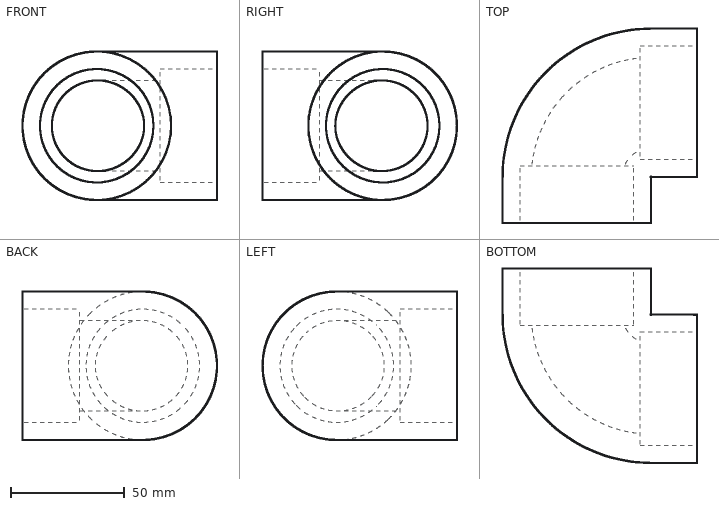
import cadquery as cq

overall_length = 85.75
outer_diameter = 65.5
socket_diameter = 50.0
bore_diameter = 40.0
socket_depth = 25.0

outer_radius = outer_diameter / 2
bend_radius = outer_radius
collar_length = overall_length - outer_diameter
bend_angle = 90


def bend(diameter):
    """Quarter torus from the -X side of the bend axis round to the +Y side."""
    return (
        cq.Workplane("XZ")
        .center(-bend_radius, 0)
        .circle(diameter / 2)
        .revolve(bend_angle, (bend_radius, 0, 0), (bend_radius, -1, 0))
    )


def end_cylinders(diameter, length):
    """Cylinders running inward from the two open ends, facing -Y and +X."""
    front = (
        cq.Workplane("XZ", origin=(-bend_radius, -collar_length, 0))
        .circle(diameter / 2)
        .extrude(-length)
    )
    side = (
        cq.Workplane("YZ", origin=(collar_length, bend_radius, 0))
        .circle(diameter / 2)
        .extrude(-length)
    )
    return front, side


def elbow(diameter):
    """Bend with a straight collar on each end."""
    front, side = end_cylinders(diameter, collar_length)
    return bend(diameter).union(front).union(side)


result = elbow(outer_diameter).cut(elbow(bore_diameter))

for socket in end_cylinders(socket_diameter, socket_depth):
    result = result.cut(socket)